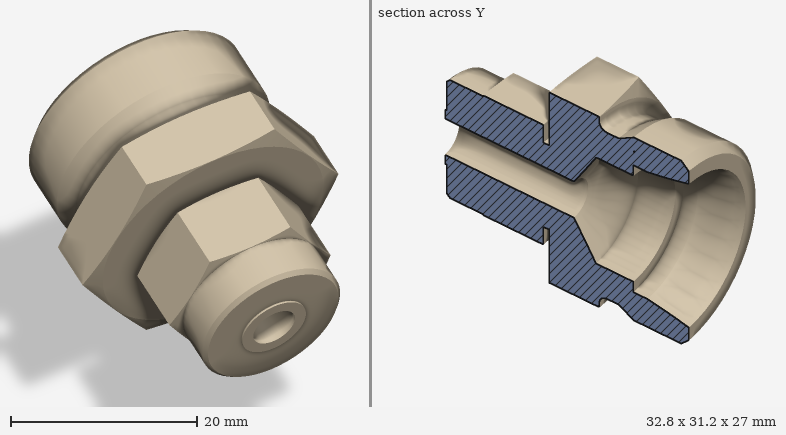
import cadquery as cq
import math

collar_end = 7.4
groove_start = 9.4
large_hex_start = 12.0
large_hex_end = 18.8
small_hex_start = 19.55
small_hex_end = 27.65
spigot_end = 32.57
overall_length = 32.8

collar_radius = 13.0
groove_radius = 11.8
neck_radius = 6.0
spigot_radius = 8.4
lip_radius = 3.87

collar_chamfer = 1.02
spigot_chamfer = 0.45
groove_fillet = 1.0

large_hex_flats = 27.0
small_hex_flats = 17.0
hex_bevel_angle = 15.0
hex_face_inset = 0.05

mouth_radius = 10.15
socket_radius = 8.95
mouth_half_angle = 12.0
stop_depth = 7.45
chamber_radius = 7.48
chamber_end = 12.45
drill_half_angle = 59.0
passage_radius = 2.53


def cone_length(radius_change, half_angle):
    """Axial length of a cone whose radius changes by the given amount."""
    return radius_change / math.tan(math.radians(half_angle))


def revolve_about_x(profile):
    """Revolve a closed XY profile a full turn about the X axis."""
    return profile.close().revolve(360, (0, 0, 0), (1, 0, 0))


def bevelled_hexagon(start, end, across_flats):
    """Hexagonal prism along X with corners on +Y and -Y and conical end bevels."""
    corner_radius = across_flats / math.sqrt(3)
    face_radius = across_flats / 2 - hex_face_inset
    bevel = (corner_radius - face_radius) * math.tan(math.radians(hex_bevel_angle))
    prism = (
        cq.Workplane("YZ", origin=(start, 0, 0))
        .polygon(6, 2 * corner_radius)
        .extrude(end - start)
    )
    envelope = revolve_about_x(
        cq.Workplane("XY")
        .moveTo(start, 0)
        .lineTo(start, face_radius)
        .lineTo(start + bevel, corner_radius)
        .lineTo(end - bevel, corner_radius)
        .lineTo(end, face_radius)
        .lineTo(end, 0)
    )
    return prism.intersect(envelope)


def turned_body():
    """Collar, relief groove, neck, spigot and end lip as one turned solid."""
    return revolve_about_x(
        cq.Workplane("XY")
        .moveTo(0, 0)
        .lineTo(0, collar_radius - collar_chamfer)
        .lineTo(collar_chamfer, collar_radius)
        .lineTo(collar_end, collar_radius)
        .lineTo(groove_start, groove_radius)
        .lineTo(large_hex_start - groove_fillet, groove_radius)
        .radiusArc((large_hex_start, groove_radius + groove_fillet), -groove_fillet)
        .lineTo(large_hex_end, groove_radius + groove_fillet)
        .lineTo(large_hex_end, neck_radius)
        .lineTo(small_hex_start, neck_radius)
        .lineTo(small_hex_start, spigot_radius)
        .lineTo(spigot_end - spigot_chamfer, spigot_radius)
        .lineTo(spigot_end, spigot_radius - spigot_chamfer)
        .lineTo(spigot_end, lip_radius)
        .lineTo(overall_length, lip_radius)
        .lineTo(overall_length, 0)
    )


def bore():
    """Tapered mouth, tube socket, chamber with drill-point end and through passage."""
    mouth_depth = cone_length(mouth_radius - socket_radius, mouth_half_angle)
    drill_tip = cone_length(chamber_radius - passage_radius, drill_half_angle)
    return revolve_about_x(
        cq.Workplane("XY")
        .moveTo(0, 0)
        .lineTo(0, mouth_radius)
        .lineTo(mouth_depth, socket_radius)
        .lineTo(stop_depth, socket_radius)
        .lineTo(stop_depth, chamber_radius)
        .lineTo(chamber_end, chamber_radius)
        .lineTo(chamber_end + drill_tip, passage_radius)
        .lineTo(overall_length, passage_radius)
        .lineTo(overall_length, 0)
    )


large_hex = bevelled_hexagon(large_hex_start, large_hex_end, large_hex_flats)
small_hex = bevelled_hexagon(small_hex_start, small_hex_end, small_hex_flats)
result = turned_body().union(large_hex).union(small_hex).cut(bore())